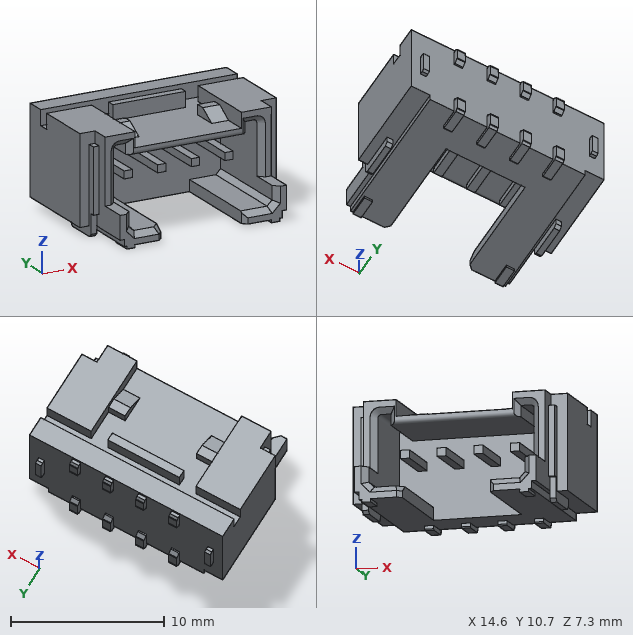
import cadquery as cq
import math


body_width = 14.6
body_front = 3.45
body_rear = 10.23
body_bottom = 0.8
top = 7.3
shell_width = 12.35
shell_front = 2.06
leg_top = 2.53
base_width = 11.74
base_bottom = 0.3
pad_inner_x = 5.07
pad_outer_x = 5.68
pad_length = 1.47
pad_bottom = 0.1

recess_floor = 6.19
recess_half = 3.95
slot_front = 7.97
slot_rear = 8.77
bar_half = 2.7
bar_front = 7.39
ramp_front = 3.83
ramp_crest = 5.04
ramp_rear = 5.74
ramp_top = 6.9

cavity_half = 5.31
cavity_floor = 1.15
cavity_roof = 6.45
cavity_rear = bar_front
roof_radius = 0.23
floor_chamfer = 0.36
lip_half = 4.42
lip_bottom = 5.7
lip_radius = 0.26
lip_flare = 0.36
mouth_flare = 0.41
floor_gap_half = 3.0
leg_corner = 0.3

contact_count = 4
contact_pitch = 2.5
contact_width = 0.61
pin_height = 0.55
pin_center_z = 3.91
pin_tip = 3.37
lead_rear = 10.65
sole_front = 8.85
lead_bevel = 0.19
sole_nick = 0.09
stub_top = 1.62
cap_bottom = 5.68
cap_top = 7.11
lead_slope = 0.25
lead_nose = 0.06
nail_inner = shell_width / 2
nail_width = 0.42
nail_bottom = 0.06
nail_chamfer = 0.23
nail_blade_front = 2.88
nail_blade_bottom = 1.71
nail_blade_top = 6.44
nail_foot_front = 3.18
nail_foot_rear = 5.95
nail_tab_bottom = 2.72
nail_tab_top = 4.65
nail_tab_drop = 0.1


def block(x0, x1, y0, y1, z0, z1):
    return cq.Workplane("XY").box(x1 - x0, y1 - y0, z1 - z0, centered=False).translate((x0, y0, z0))


def centered_block(width, y0, y1, z0, z1):
    return block(-width / 2, width / 2, y0, y1, z0, z1)


def side_plate(points, x0, width):
    """Extrude a (y, z) outline along +X, starting at x0."""
    return cq.Workplane("YZ", origin=(x0, 0, 0)).polyline(points).close().extrude(width)


def on_both_sides(solid):
    return solid.union(solid.mirror("YZ"))


def housing():
    body = centered_block(body_width, body_front, body_rear, body_bottom, top)
    shell = centered_block(shell_width, shell_front, body_front, body_bottom, top)
    legs = centered_block(shell_width, 0, shell_front, body_bottom, leg_top)
    base = centered_block(base_width, 0, body_rear, base_bottom, body_bottom)
    pad = block(pad_inner_x, pad_outer_x, 0, pad_length, pad_bottom, base_bottom)
    return body.union(shell).union(legs).union(base).union(on_both_sides(pad))


def cavity_outline(y, flare):
    """Wire of the cavity section at y, widened by flare; the roof lip keeps its underside level."""
    half = cavity_half + flare
    roof = cavity_roof + flare
    floor = cavity_floor - flare
    radius = roof_radius + flare
    cut = floor_chamfer + flare * (2 - math.sqrt(2))
    lip = lip_half - flare * lip_flare / mouth_flare
    arc = radius * (1 - math.sqrt(0.5))
    return (
        cq.Workplane("XZ", origin=(0, y, 0))
        .moveTo(-half + cut, floor)
        .lineTo(half - cut, floor)
        .lineTo(half, floor + cut)
        .lineTo(half, roof - radius)
        .threePointArc((half - arc, roof - arc), (half - radius, roof))
        .lineTo(lip, roof)
        .lineTo(lip, lip_bottom)
        .lineTo(-lip, lip_bottom)
        .lineTo(-lip, roof)
        .lineTo(-half + radius, roof)
        .threePointArc((-half + arc, roof - arc), (-half, roof - radius))
        .lineTo(-half, floor + cut)
        .close()
        .val()
    )


def mouth(y):
    """Flared entry that narrows from the wide outline at y to the plain cavity."""
    wires = [cavity_outline(y, mouth_flare), cavity_outline(y + mouth_flare, 0)]
    return cq.Workplane(cq.Solid.makeLoft(wires, True))


def cavity():
    straight = cq.Workplane(
        cq.Solid.extrudeLinear(cavity_outline(0, 0), [], cq.Vector(0, cavity_rear, 0))
    )
    leg_zone = centered_block(body_width, 0, shell_front, 0, leg_top)
    shell_zone = centered_block(body_width, shell_front, body_rear, leg_top, top)
    floor_gap = centered_block(2 * floor_gap_half, 0, cavity_rear, 0, leg_top)
    return (
        straight.union(mouth(0).intersect(leg_zone))
        .union(mouth(shell_front).intersect(shell_zone))
        .union(floor_gap)
    )


def corner_triangle(x, direction, leg, z):
    """Triangle at the leg tip, with its right angle at x and one side running along direction."""
    points = [cq.Vector(x, 0, z), cq.Vector(x + direction * leg, 0, z), cq.Vector(x, leg, z)]
    return cq.Wire.makePolygon(points, close=True)


def leg_corner_cuts():
    rim = cavity_floor - mouth_flare
    height = leg_top - base_bottom
    corner = cq.Workplane(
        cq.Solid.extrudeLinear(
            corner_triangle(floor_gap_half, 1, leg_corner, base_bottom), [], cq.Vector(0, 0, height)
        )
    )
    wide = leg_corner + mouth_flare * math.sqrt(2)
    slope = cq.Solid.makeLoft(
        [
            corner_triangle(-floor_gap_half, -1, leg_corner, rim),
            corner_triangle(-floor_gap_half, -1, wide, cavity_floor),
        ],
        True,
    )
    return on_both_sides(corner).union(cq.Workplane(slope))


def lip_rounding():
    """Material removed to round the lower front edge of the roof lip."""
    arc = lip_radius * (1 - math.sqrt(0.5))
    return (
        cq.Workplane("YZ", origin=(-lip_half, 0, 0))
        .moveTo(shell_front, lip_bottom)
        .lineTo(shell_front + lip_radius, lip_bottom)
        .threePointArc(
            (shell_front + arc, lip_bottom + arc), (shell_front, lip_bottom + lip_radius)
        )
        .close()
        .extrude(2 * lip_half)
    )


def top_cuts():
    recess = centered_block(2 * recess_half, 0, slot_front, recess_floor, top)
    slot = centered_block(body_width, slot_front, slot_rear, recess_floor, top)
    return recess.union(slot)


def top_features():
    bar = centered_block(2 * bar_half, bar_front, slot_front, recess_floor, top)
    ramp_outline = [
        (ramp_front, recess_floor),
        (ramp_crest, ramp_top),
        (ramp_rear, ramp_top),
        (ramp_rear, recess_floor),
    ]
    ramp = side_plate(ramp_outline, bar_half, recess_half - bar_half)
    return bar.union(on_both_sides(ramp))


def contact(x):
    left = x - contact_width / 2
    right = x + contact_width / 2
    pin_bottom = pin_center_z - pin_height / 2
    pin = block(left, right, pin_tip, cavity_rear, pin_bottom, pin_bottom + pin_height)
    nose_root = lead_rear - lead_nose
    sole_outline = [
        (body_rear, stub_top),
        (nose_root - lead_slope, stub_top),
        (nose_root, stub_top - lead_slope),
        (lead_rear, stub_top - lead_slope),
        (lead_rear, lead_bevel),
        (nose_root, lead_bevel),
        (lead_rear - lead_bevel, 0),
        (sole_front + sole_nick, 0),
        (sole_front, sole_nick),
        (sole_front, base_bottom),
        (body_rear, base_bottom),
    ]
    cap_outline = [
        (body_rear, cap_bottom),
        (nose_root - lead_slope, cap_bottom),
        (nose_root, cap_bottom + lead_slope),
        (lead_rear, cap_bottom + lead_slope),
        (lead_rear, cap_top - lead_bevel),
        (nose_root, cap_top - lead_bevel),
        (lead_rear - lead_bevel, cap_top),
        (body_rear, cap_top),
    ]
    lead = side_plate(sole_outline, left, contact_width)
    cap = side_plate(cap_outline, left, contact_width)
    return pin.union(lead).union(cap)


def nail():
    front_outline = [
        (body_front, nail_blade_top),
        (nail_blade_front, nail_blade_top),
        (nail_blade_front, nail_blade_bottom),
        (nail_foot_front, nail_blade_bottom),
        (nail_foot_front, nail_bottom + nail_chamfer),
        (nail_foot_front + nail_chamfer, nail_bottom),
        (nail_foot_rear - nail_chamfer, nail_bottom),
        (nail_foot_rear, nail_bottom + nail_chamfer),
        (nail_foot_rear, body_bottom),
        (body_front, body_bottom),
    ]
    tab_outline = [
        (body_rear, nail_tab_bottom),
        (lead_rear - lead_bevel, nail_tab_bottom),
        (lead_rear, nail_tab_bottom + nail_tab_drop),
        (lead_rear, nail_tab_top - nail_tab_drop),
        (lead_rear - lead_bevel, nail_tab_top),
        (body_rear, nail_tab_top),
    ]
    blade = side_plate(front_outline, nail_inner, nail_width)
    tab = side_plate(tab_outline, nail_inner, nail_width)
    return blade.union(tab)


result = housing().cut(cavity()).cut(leg_corner_cuts()).cut(lip_rounding())
result = result.cut(top_cuts()).union(top_features()).union(on_both_sides(nail()))
for index in range(contact_count):
    result = result.union(contact((index - (contact_count - 1) / 2) * contact_pitch))